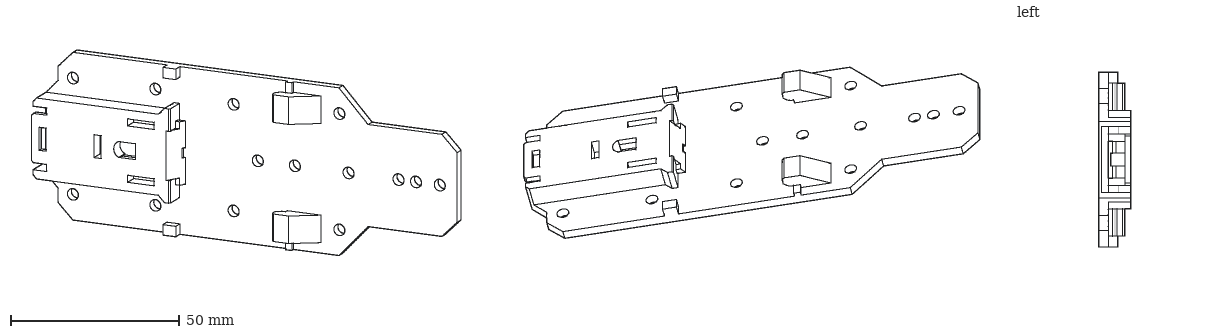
import cadquery as cq


length = 136.6
height = 52.0
half_height = height / 2
plate_thickness = 2.9
plate_left = 0.5
shoulder_x = 5.6
shoulder_low_z = 16.7
left_flat_z = 11.3
left_chamfer = 4.9
taper_start_x = 97.8
taper_end_x = 107.4
tail_half_height = 15.9
tail_chamfer = 5.0

hole_diameter = 3.5
corner_hole_x = (10.5, 37.6, 98.0)
corner_hole_z = 18.0
inner_hole_x = 63.3
inner_hole_z = 16.5
center_hole_x = (71.2, 83.4, 101.0, 117.4, 123.1, 130.9)

tab_left = 41.4
tab_right = 45.6
tab_length = 3.3
tab_depth = 5.7

hook_inner_z = 14.2
hook_outer_z = half_height - tab_length
hook_tip_x = 78.0
hook_front_x = 83.6
hook_ramp_end_x = 92.0
hook_depth = 7.8
hook_lip_length = 1.6
hook_lip_bevel = 0.7
hook_front_bevel = 0.7
neck_left = 80.9
neck_right = 83.0
rail_gap = 1.2
gap_depth = plate_thickness + rail_gap

front_depth = 9.5
housing_half_width = 12.6
housing_right = 45.5
ear_start_x = 41.7
ear_half_width = 14.6
ear_bevel = ear_half_width - housing_half_width
ear_edge_bevel = 0.4

cavity_half_width = 9.8
tongue_half_width = 7.7
tongue_depth = 7.8
tongue_corner = 0.7
lip_thickness = 0.8
lip_end_x = 0.7
lip_slope_end_x = 1.6
mouth_end_x = 4.2
mouth_slope_depth = 5.9
mouth_front_x = 5.0
drain_left = 3.5

inner_wall_x = 5.5
undercut = 3.0
channel_half_width = 5.5
channel_bevel = 1.1
rib_front_x = 5.0
rib_half_width = 1.9
rib_depth = 3.5

nose_tip_x = 48.1
nose_step_depth = 5.7
front_skin_end_x = 44.3
nose_step_right = 46.9
nose_notch_left = 47.4
nose_notch_half_width = 1.5

window_floor = 5.2
window_centers_x = (3.7, 21.7)
window_width = 2.3
window_height = 7.1
side_window_left = 31.5
side_window_right = 40.3
arrow_tip_x = 27.0
arrow_shoulder_x = 28.7
arrow_right = 34.2
arrow_half_width = 2.5
arrow_hollow_half_width = 2.9


def slab(x_range, depth_range, z_range):
    """Box given by its limits along X, its depths from the back face, and its limits along Z."""
    (x0, x1), (d0, d1), (z0, z1) = x_range, depth_range, z_range
    return cq.Workplane("XY").box(x1 - x0, d1 - d0, z1 - z0, centered=False).translate((x0, -d1, z0))


def both_sides(body):
    """The body together with its mirror image about Z = 0."""
    return body.union(body.mirror("XY"))


def mirrored_outline(upper, depth_range):
    """Prism through a depth range whose outline is the upper points and their mirror images about Z = 0."""
    lower = [(x, -z) for x, z in reversed(upper)]
    start, end = depth_range
    plane = cq.Workplane("XZ", origin=(0, -start, 0))
    return plane.polyline(upper + lower).close().extrude(end - start)


def depth_profile(points, z_range):
    """Prism along Z from a profile of (x, depth) points."""
    low, high = z_range
    profile = [(x, -depth) for x, depth in points]
    return cq.Workplane("XY", origin=(0, 0, low)).polyline(profile).close().extrude(high - low)


def plate_block(depth):
    """Plate outline extruded to the given depth."""
    upper = [
        (plate_left, left_flat_z),
        (shoulder_x, shoulder_low_z),
        (shoulder_x, half_height - left_chamfer),
        (shoulder_x + left_chamfer, half_height),
        (taper_start_x, half_height),
        (taper_end_x, tail_half_height),
        (length - tail_chamfer, tail_half_height),
        (length, tail_half_height - tail_chamfer),
    ]
    return mirrored_outline(upper, (0, depth))


def drill_holes():
    points = [(x, side * corner_hole_z) for x in corner_hole_x for side in (1, -1)]
    points += [(inner_hole_x, side * inner_hole_z) for side in (1, -1)]
    points += [(x, 0) for x in center_hole_x]
    return cq.Workplane("XZ").pushPoints(points).circle(hole_diameter / 2).extrude(plate_thickness)


def edge_tabs():
    z_range = (half_height - tab_length, half_height)
    return both_sides(slab((tab_left, tab_right), (0, tab_depth), z_range))


def rail_hooks():
    profile = [
        (neck_left, plate_thickness),
        (neck_left, gap_depth),
        (hook_tip_x + hook_lip_length, gap_depth),
        (hook_tip_x + hook_lip_bevel, gap_depth + hook_lip_bevel),
        (hook_tip_x, gap_depth + 2 * hook_lip_bevel),
        (hook_tip_x, hook_depth - hook_front_bevel),
        (hook_tip_x + hook_front_bevel, hook_depth),
        (hook_front_x, hook_depth),
        (hook_ramp_end_x, plate_thickness),
    ]
    hook = depth_profile(profile, (hook_inner_z, hook_outer_z))
    neck = slab((neck_left, neck_right), (plate_thickness, gap_depth), (hook_outer_z, half_height))
    return both_sides(hook.union(neck))


def housing_body():
    """Solid housing with flared ears, trimmed on the left by the plate outline."""
    upper = [
        (plate_left, housing_half_width),
        (ear_start_x, housing_half_width),
        (ear_start_x + ear_bevel, ear_half_width),
        (housing_right, ear_half_width),
    ]
    body = mirrored_outline(upper, (plate_thickness, front_depth))
    body = body.faces(">X").edges("<Y").chamfer(ear_edge_bevel)
    return body.intersect(plate_block(front_depth))


def latch_nose():
    """Wedge-shaped nose, clear of the plate, with a step on each side and a notch in its tip."""
    profile = [
        (front_skin_end_x, gap_depth),
        (nose_tip_x, gap_depth),
        (front_skin_end_x, front_depth),
    ]
    nose = depth_profile(profile, (-cavity_half_width, cavity_half_width))
    step = slab(
        (housing_right, nose_step_right),
        (nose_step_depth, front_depth),
        (tongue_half_width, cavity_half_width),
    )
    notch = slab(
        (nose_notch_left, nose_tip_x),
        (gap_depth, front_depth),
        (-nose_notch_half_width, nose_notch_half_width),
    )
    return nose.cut(both_sides(step)).cut(notch)


def front_step():
    """Recess in the right end of the housing between the ears, where the nose emerges."""
    z_range = (-tongue_half_width, tongue_half_width)
    return slab((front_skin_end_x, housing_right), (gap_depth, front_depth), z_range)


def mouth():
    """Opening at the left end, with a beveled lip on the plate and a sloped inner end."""
    profile = [
        (0, lip_thickness),
        (lip_end_x, lip_thickness),
        (lip_slope_end_x, plate_thickness),
        (mouth_end_x, plate_thickness),
        (mouth_end_x, mouth_slope_depth),
        (mouth_front_x, front_depth),
        (0, front_depth),
    ]
    return depth_profile(profile, (-cavity_half_width, cavity_half_width))


def drain_slots():
    """Slots through the plate in the two corners of the mouth."""
    z_range = (tongue_half_width, cavity_half_width)
    return both_sides(slab((drain_left, mouth_end_x), (0, plate_thickness), z_range))


def tongue():
    """Front wall of the mouth, reaching the left extreme of the part."""
    upper = [
        (0, tongue_half_width - tongue_corner),
        (tongue_corner, tongue_half_width),
        (mouth_front_x, tongue_half_width),
    ]
    return mirrored_outline(upper, (tongue_depth, front_depth))


def inner_cavity():
    """Space behind the tongue, undercut along both sides."""
    z_range = (-tongue_half_width, tongue_half_width)
    pocket = slab((mouth_end_x, inner_wall_x), (plate_thickness, tongue_depth), z_range)
    wedge = [
        (inner_wall_x, tongue_depth),
        (inner_wall_x, plate_thickness),
        (inner_wall_x + undercut, plate_thickness),
    ]
    return pocket.union(both_sides(depth_profile(wedge, (channel_half_width, tongue_half_width))))


def slide_channel():
    """Gap along the plate through the whole housing, with a beveled entry."""
    profile = [
        (inner_wall_x, plate_thickness),
        (housing_right, plate_thickness),
        (housing_right, gap_depth),
        (inner_wall_x + channel_bevel, gap_depth),
        (inner_wall_x, gap_depth + channel_bevel),
    ]
    return depth_profile(profile, (-channel_half_width, channel_half_width))


def channel_rib():
    """Central rib that narrows the slide channel and stands proud of the inner wall."""
    z_range = (-rib_half_width, rib_half_width)
    return slab((rib_front_x, front_skin_end_x), (rib_depth, tongue_depth), z_range)


def windows():
    """Blind windows: two upright slots, two side slots and an arrow that widens behind the front skin."""
    depth_range = (window_floor, front_depth)
    upright = slab(
        (-window_width / 2, window_width / 2), depth_range, (-window_height / 2, window_height / 2)
    )
    side = slab(
        (side_window_left, side_window_right), depth_range, (tongue_half_width, cavity_half_width)
    )
    arrow = (
        cq.Workplane("XZ", origin=(0, -window_floor, 0))
        .moveTo(arrow_right, -arrow_half_width)
        .lineTo(arrow_right, arrow_half_width)
        .lineTo(arrow_shoulder_x, arrow_half_width)
        .threePointArc((arrow_tip_x, 0), (arrow_shoulder_x, -arrow_half_width))
        .close()
        .extrude(front_depth - window_floor)
    )
    arrow_hollow = slab(
        (arrow_shoulder_x, arrow_right),
        (window_floor, tongue_depth),
        (-arrow_hollow_half_width, arrow_hollow_half_width),
    )
    cut = both_sides(side).union(arrow).union(arrow_hollow)
    for x in window_centers_x:
        cut = cut.union(upright.translate((x, 0, 0)))
    return cut


plate = plate_block(plate_thickness).cut(drill_holes()).union(edge_tabs()).union(rail_hooks())
housing = housing_body().cut(front_step()).union(latch_nose())
result = plate.union(housing)
result = result.cut(mouth()).cut(drain_slots()).union(tongue())
result = result.cut(inner_cavity()).cut(slide_channel()).union(channel_rib()).cut(windows())